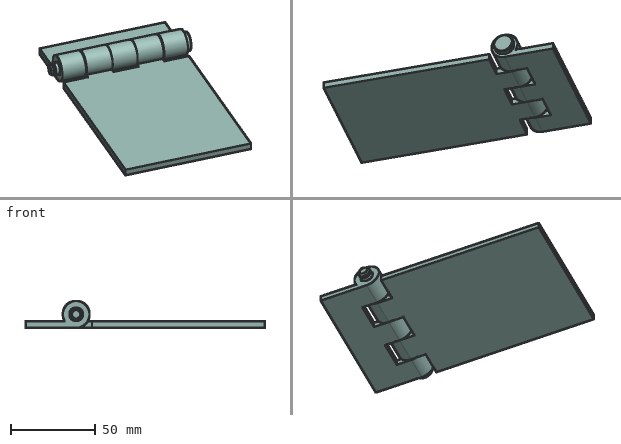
import cadquery as cq

overall_length = 142.0
hinge_width = 80.0
leaf_thickness = 4.0
left_leaf_length = 30.0
right_leaf_length = overall_length - left_leaf_length
barrel_diameter = 16.0
bore_diameter = 8.1
notch_reach = 9.5

end_knuckle_length = 15.0
middle_knuckle_length = 15.9
knuckle_clearance = 0.5

pin_diameter = 7.2
head_diameter = 11.9
head_length = 3.1
head_chamfer = 0.4
tail_length = 5.0
groove_start = 2.3
groove_width = 0.5
groove_depth = 0.4
tip_diameter = 5.1
tip_length = 1.3

half_width = hinge_width / 2
half_middle = middle_knuckle_length / 2
left_end_inner = half_width - end_knuckle_length
right_knuckle_outer = left_end_inner - knuckle_clearance


def limit_box(x_start, x_end, y_start, y_end, z_start, z_end):
    """Box given by its limits along the three axes."""
    size = (x_end - x_start, y_end - y_start, z_end - z_start)
    return cq.Workplane("XY").box(*size, centered=False).translate((x_start, y_start, z_start))


def y_cylinder(diameter, y_start, y_end):
    """Cylinder on the hinge axis."""
    return cq.Workplane("XZ", origin=(0, y_end, 0)).circle(diameter / 2).extrude(y_end - y_start)


def make_leaf(side, length, knuckle_spans):
    """Plate on one side (-1 left, +1 right) of the axis, carrying a knuckle over each Y span."""
    plate_bottom = -barrel_diameter / 2
    plate_top = plate_bottom + leaf_thickness
    plate_x = sorted((side * notch_reach, side * length))
    tongue_x = sorted((0, side * notch_reach))
    leaf = limit_box(*plate_x, -half_width, half_width, plate_bottom, plate_top)
    for y_start, y_end in knuckle_spans:
        leaf = leaf.union(limit_box(*tongue_x, y_start, y_end, plate_bottom, plate_top))
        leaf = leaf.union(y_cylinder(barrel_diameter, y_start, y_end))
    return leaf.cut(y_cylinder(bore_diameter, -half_width, half_width)).solids()


def make_pin():
    """Headed pin with a retaining groove and a tapered tip, revolved about the hinge axis."""
    radius = pin_diameter / 2
    head_radius = head_diameter / 2
    groove_radius = radius - groove_depth
    head_end = half_width + head_length
    tip_end = -half_width - tail_length
    groove_inner = -half_width - groove_start
    groove_outer = groove_inner - groove_width
    profile = [
        (0, tip_end),
        (tip_diameter / 2, tip_end),
        (radius, tip_end + tip_length),
        (radius, groove_outer),
        (groove_radius, groove_outer),
        (groove_radius, groove_inner),
        (radius, groove_inner),
        (radius, half_width),
        (head_radius, half_width),
        (head_radius, head_end - head_chamfer),
        (head_radius - head_chamfer, head_end),
        (0, head_end),
    ]
    return cq.Workplane("XY").polyline(profile).close().revolve(360, (0, 0), (0, 1))


left_leaf = make_leaf(
    -1,
    left_leaf_length,
    [(-half_width, -left_end_inner), (-half_middle, half_middle), (left_end_inner, half_width)],
)
right_leaf = make_leaf(
    1,
    right_leaf_length,
    [(-right_knuckle_outer, -half_middle), (half_middle, right_knuckle_outer)],
)
pin = make_pin()

result = cq.Compound.makeCompound([left_leaf.val(), right_leaf.val(), pin.val()])